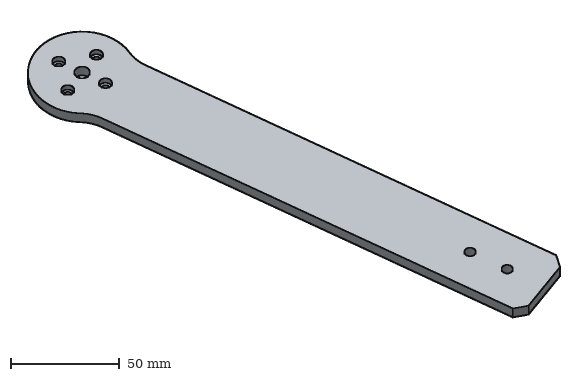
import cadquery as cq
import math

length = 275.0
thickness = 6.3
head_radius = 25.0
arm_width = 38.2
neck_radius = 20.5
end_chamfer = 5.2

centre_hole_diameter = 7.2
bolt_circle_radius = 12.6
bolt_count = 4
bolt_diameter = 3.3
counterbore_diameter = 6.0
counterbore_depth = thickness / 2

end_hole_diameter = 5.2
end_hole_inset = 20.0
end_hole_spacing = 20.0

arm_end = length - head_radius
half_width = arm_width / 2

neck_centre_y = half_width + neck_radius
neck_centre_distance = head_radius + neck_radius
neck_end_x = math.sqrt(neck_centre_distance**2 - neck_centre_y**2)
neck_angle = math.atan2(neck_centre_y, neck_end_x)
neck_start_x = head_radius * math.cos(neck_angle)
neck_start_y = head_radius * math.sin(neck_angle)

neck_mid_angle = (neck_angle + math.pi / 2) / 2
neck_mid_x = neck_end_x - neck_radius * math.cos(neck_mid_angle)
neck_mid_y = neck_centre_y - neck_radius * math.sin(neck_mid_angle)


def make_plate():
    """Round head blended into a straight arm with chamfered end corners."""
    outline = (
        cq.Workplane("XY")
        .moveTo(neck_start_x, neck_start_y)
        .threePointArc((-head_radius, 0), (neck_start_x, -neck_start_y))
        .threePointArc((neck_mid_x, -neck_mid_y), (neck_end_x, -half_width))
        .lineTo(arm_end - end_chamfer, -half_width)
        .lineTo(arm_end, -half_width + end_chamfer)
        .lineTo(arm_end, half_width - end_chamfer)
        .lineTo(arm_end - end_chamfer, half_width)
        .lineTo(neck_end_x, half_width)
        .threePointArc((neck_mid_x, neck_mid_y), (neck_start_x, neck_start_y))
        .close()
    )
    return outline.extrude(thickness)


def cut_head_holes(plate):
    """Central through hole ringed by counterbored bolt holes."""
    top = plate.faces(">Z").workplane(origin=(0, 0, thickness))
    drilled = top.hole(centre_hole_diameter)
    return (
        drilled.faces(">Z")
        .workplane(origin=(0, 0, thickness))
        .polarArray(bolt_circle_radius, 0, 360, bolt_count)
        .cboreHole(bolt_diameter, counterbore_diameter, counterbore_depth)
    )


def cut_end_holes(plate):
    """Two through holes on the arm's centre line."""
    outer_x = arm_end - end_hole_inset
    return (
        plate.faces(">Z")
        .workplane(origin=(0, 0, thickness))
        .pushPoints([(outer_x, 0), (outer_x - end_hole_spacing, 0)])
        .hole(end_hole_diameter)
    )


result = cut_end_holes(cut_head_holes(make_plate()))